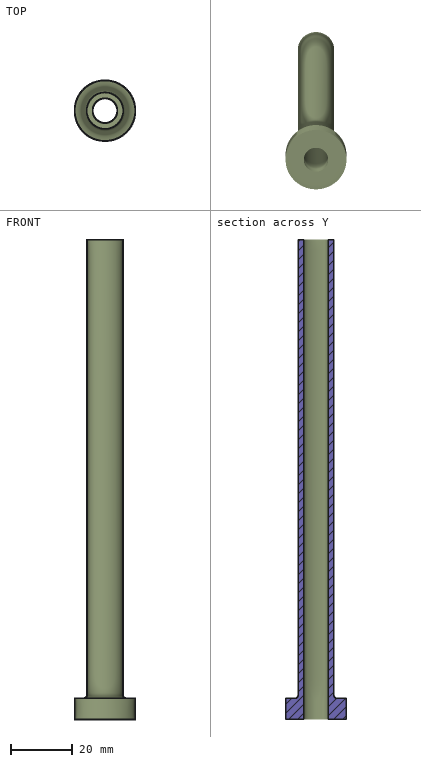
import cadquery as cq

total_length = 157.0
head_diameter = 20.0
head_height = 7.0
tube_diameter = 12.0
bore_diameter = 8.0
root_fillet = 0.8

head = cq.Workplane("XY").circle(head_diameter / 2).extrude(head_height)
tube = cq.Workplane("XY").circle(tube_diameter / 2).extrude(total_length)

root_edge = cq.selectors.RadiusNthSelector(0)
body = head.union(tube)
body = body.faces("<Z[-2]").edges(root_edge).fillet(root_fillet)

bore = cq.Workplane("XY").circle(bore_diameter / 2).extrude(total_length)
result = body.cut(bore)